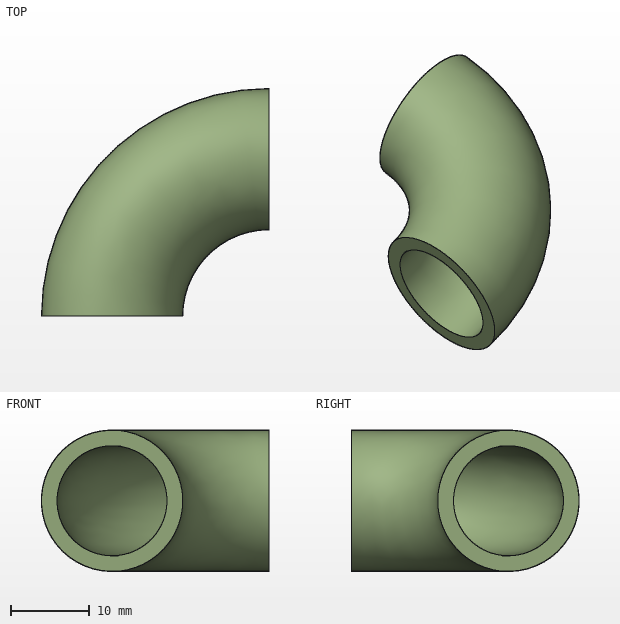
import cadquery as cq

outer_reach = 29.0
outer_diameter = 18.0
bore_diameter = 14.0
bend_angle = 90.0

bend_radius = outer_reach - outer_diameter / 2


def bent_rod(diameter):
    """Solid round rod from the -Y end face to the +X end face, with the bend centre at the origin."""
    end_circle = cq.Workplane("XZ").center(-bend_radius, 0).circle(diameter / 2)
    return end_circle.revolve(bend_angle, (bend_radius, 0, 0), (bend_radius, -1, 0))


result = bent_rod(outer_diameter).cut(bent_rod(bore_diameter))